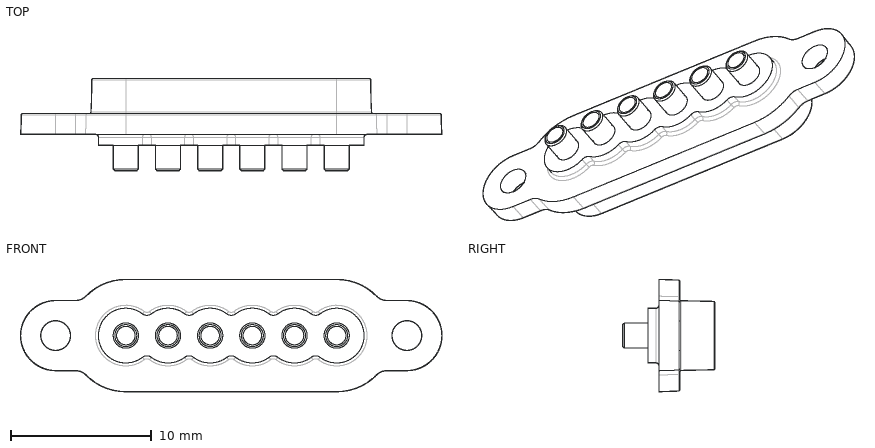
import cadquery as cq
import math

PIN_COUNT = 6
PIN_PITCH = 3.0
PIN_RADIUS = 0.9
PIN_TIP_CHAMFER = 0.12
BORE_RADIUS = 0.65
BORE_DEPTH = 1.8
BORE_CONE_ANGLE = 118.0

FLANGE_THICKNESS = 1.5
REAR_BOSS_DEPTH = 2.5
FRONT_BOSS_DEPTH = 0.78
PIN_PROJECTION = 1.8

FLANGE_LENGTH = 30.0
FLANGE_HEIGHT = 8.0
EAR_HEIGHT = 5.0
EAR_BLEND_RADIUS = 1.0
MOUNT_HOLE_DIAMETER = 2.1

REAR_BOSS_HEIGHT = 4.98
FRONT_BOSS_RADIUS = 1.95
SCALLOP_BLEND_RADIUS = 0.5

FLANGE_DRAFT_ANGLE = 2.0
REAR_BOSS_DRAFT_ANGLE = 1.2
EDGE_FILLET = 0.12
FRONT_BOSS_ROOT_FILLET = 0.2
REAR_BOSS_ROOT_FILLET = 0.1

SLACK = 0.015

PIN_XS = [(i - (PIN_COUNT - 1) / 2) * PIN_PITCH for i in range(PIN_COUNT)]
END_PIN_X = PIN_XS[-1]
FLANGE_RADIUS = FLANGE_HEIGHT / 2
EAR_RADIUS = EAR_HEIGHT / 2
EAR_X = FLANGE_LENGTH / 2 - EAR_RADIUS
REAR_BOSS_RADIUS = REAR_BOSS_HEIGHT / 2
REAR_Y = FLANGE_THICKNESS + REAR_BOSS_DEPTH
PAD_Y = -FRONT_BOSS_DEPTH
PIN_TIP_Y = PAD_Y - PIN_PROJECTION
PIN_LENGTH = REAR_Y - PIN_TIP_Y


def plane_at(y, x=0):
    """Workplane facing +Y with its origin at (x, y, 0), its local x along +Z and local y along +X."""
    return cq.Workplane("ZX", origin=(x, y, 0))


def slot_block(y, half_length, radius, depth, taper=0):
    """Round-ended block, long in X, that grows from y towards +Y."""
    return plane_at(y).slot2D(2 * half_length, 2 * radius, 90).extrude(depth, taper=taper)


def root_edges(y, half_length, half_height):
    """Selector for the edges at depth y that lie within a boss outline of the given half sizes."""
    return cq.selectors.BoxSelector(
        (-half_length - SLACK, y - SLACK, -half_height - SLACK),
        (half_length + SLACK, y + SLACK, half_height + SLACK),
    )


def round_corners(block, half_length, height, radius):
    """Block with its edges along Y at Z = +-height filleted, where |X| is below half_length."""
    corners = block.edges("|Y").filter(
        lambda edge: abs(abs(edge.Center().z) - height) < SLACK and abs(edge.Center().x) < half_length
    )
    return block.newObject(corners.vals()).fillet(radius)


def flange():
    """Round-ended plate with a drilled ear at each end, blended into the plate ends."""
    plate = slot_block(0, END_PIN_X + FLANGE_RADIUS, FLANGE_RADIUS, FLANGE_THICKNESS)
    ears = slot_block(0, FLANGE_LENGTH / 2, EAR_RADIUS, FLANGE_THICKNESS)
    straight = round_corners(plate.union(ears), END_PIN_X + FLANGE_RADIUS, EAR_RADIUS, EAR_BLEND_RADIUS)

    outline = plane_at(0).add(straight.faces("<Y").wires()).toPending()
    drafted = outline.extrude(FLANGE_THICKNESS, taper=FLANGE_DRAFT_ANGLE, combine=False)
    drafted = drafted.faces(">Y").edges().fillet(EDGE_FILLET)
    holes = plane_at(0).pushPoints([(0, -EAR_X), (0, EAR_X)]).circle(MOUNT_HOLE_DIAMETER / 2)
    return drafted.cut(holes.extrude(FLANGE_THICKNESS))


def rear_boss():
    """Drafted round-ended block behind the flange."""
    half_length = END_PIN_X + REAR_BOSS_RADIUS
    block = slot_block(FLANGE_THICKNESS, half_length, REAR_BOSS_RADIUS, REAR_BOSS_DEPTH, REAR_BOSS_DRAFT_ANGLE)
    return block.faces(">Y").edges().fillet(EDGE_FILLET)


def front_boss():
    """Scalloped pad made of one disc per pin, with the notches between discs rounded."""
    discs = cq.Workplane("XZ")
    for x in PIN_XS:
        discs = discs.union(plane_at(PAD_Y, x).circle(FRONT_BOSS_RADIUS).extrude(FRONT_BOSS_DEPTH))
    notch_z = math.sqrt(FRONT_BOSS_RADIUS**2 - (PIN_PITCH / 2) ** 2)
    return round_corners(discs, END_PIN_X, notch_z, SCALLOP_BLEND_RADIUS)


def pin_cylinder(x):
    """Plain cylinder of one pin, from its free tip to the rear face of the housing."""
    return plane_at(PIN_TIP_Y, x).circle(PIN_RADIUS).extrude(PIN_LENGTH)


def pin_at(x):
    """Pin with a chamfered tip and a drill-pointed bore in the tip."""
    cone_depth = BORE_RADIUS / math.tan(math.radians(BORE_CONE_ANGLE / 2))
    pin = pin_cylinder(x).faces("<Y").edges().chamfer(PIN_TIP_CHAMFER)
    bore = cq.Workplane("XY", origin=(x, PIN_TIP_Y, 0)).lineTo(BORE_RADIUS, 0)
    bore = bore.lineTo(BORE_RADIUS, BORE_DEPTH).lineTo(0, BORE_DEPTH + cone_depth).close()
    return pin.cut(bore.revolve(360, (0, 0, 0), (0, 1, 0)))


def housing():
    """Flange with both bosses, filleted at their roots, and a through hole for each pin."""
    front_root = root_edges(0, END_PIN_X + FRONT_BOSS_RADIUS, FRONT_BOSS_RADIUS)
    rear_root = root_edges(FLANGE_THICKNESS, END_PIN_X + REAR_BOSS_RADIUS, REAR_BOSS_RADIUS)
    body = flange().union(rear_boss()).union(front_boss())
    body = body.edges(front_root).fillet(FRONT_BOSS_ROOT_FILLET)
    body = body.edges(rear_root).fillet(REAR_BOSS_ROOT_FILLET)
    for x in PIN_XS:
        body = body.cut(pin_cylinder(x))
    return body


pins = [pin_at(x) for x in PIN_XS]
result = cq.Compound.makeCompound([housing().val(), *[pin.val() for pin in pins]])